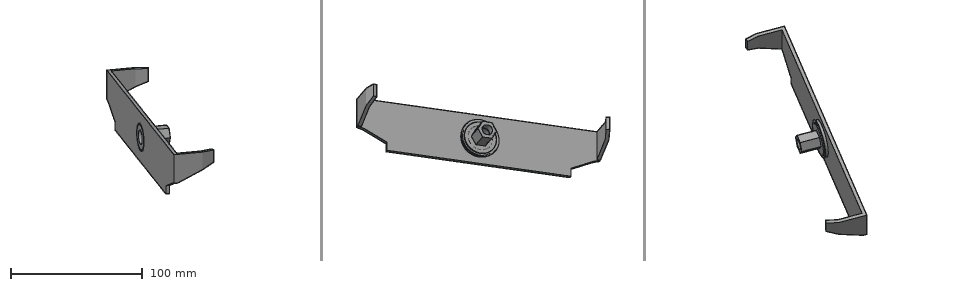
import cadquery as cq
import math

LENGTH = 195.0
DEPTH = 32.0
HEIGHT = 40.0
SHEET = 3.0
BEND_Y = 22.5
BEND_ANGLE = 15.0
END_HEIGHT = 23.2
TIP_HEIGHT = 10.0
KINK_INSET = 5.3
KINK_HEIGHT = 24.8
FOOT_INSET = 23.5
FOOT_HEIGHT = 33.3
BOSS_CLEARANCE = 1.0

BOSS_RADIUS = 9.8
FLANGE_RADIUS = 12.9
FLANGE_FRONT = 5.3
FLANGE_BACK = 6.2
NUT_LENGTH = 21.6
HEX_ACROSS_CORNERS = 15.0
BORE_RADIUS = 5.5
BORE_DEPTH = 13.6
END_HOLE_RADIUS = 4.0
COUNTERSINK_RADIUS = 4.9

WASHER_PLATE_RADIUS = 14.8
WASHER_WAIST_RADIUS = 13.8
WASHER_LIP_RADIUS = 15.2

HALF_LENGTH = LENGTH / 2
TOP = HEIGHT / 2


def disc(radius, y_start, y_end):
    """Cylinder on the nut axis between two Y positions."""
    return cq.Workplane("XZ", origin=(0, y_start, 0)).circle(radius).extrude(y_start - y_end)


def make_sheet():
    """Channel section with bent arm tips, at full height."""
    angle = math.radians(BEND_ANGLE)
    tip_x = HALF_LENGTH - (DEPTH - BEND_Y) * math.tan(angle)
    inner_x = HALF_LENGTH - SHEET
    right_side = [
        (HALF_LENGTH, 0),
        (HALF_LENGTH, BEND_Y),
        (tip_x, DEPTH),
        (tip_x - SHEET * math.cos(angle), DEPTH - SHEET * math.sin(angle)),
        (inner_x, BEND_Y - SHEET * math.tan(angle / 2)),
        (inner_x, SHEET),
    ]
    left_side = [(-x, y) for x, y in reversed(right_side)]
    section = cq.Workplane("XY", origin=(0, 0, -TOP)).polyline(right_side + left_side).close()
    return section.extrude(HEIGHT)


def make_front_outline():
    """Plate outline, with stepped lower corners, through the full depth."""
    right_side = [
        (HALF_LENGTH, TOP),
        (HALF_LENGTH, TOP - END_HEIGHT),
        (HALF_LENGTH - KINK_INSET, TOP - KINK_HEIGHT),
        (HALF_LENGTH - FOOT_INSET, TOP - FOOT_HEIGHT),
        (HALF_LENGTH - FOOT_INSET, -TOP),
    ]
    left_side = [(-x, z) for x, z in reversed(right_side)]
    return cq.Workplane("XZ").polyline(right_side + left_side).close().extrude(-DEPTH)


def make_side_outline():
    """Arm outline, tapering toward the tips, through the full length."""
    points = [
        (0, TOP),
        (DEPTH, TOP),
        (DEPTH, TOP - TIP_HEIGHT),
        (SHEET, TOP - END_HEIGHT),
        (SHEET, -TOP),
        (0, -TOP),
    ]
    return cq.Workplane("YZ").polyline(points).close().extrude(HALF_LENGTH, both=True)


def make_bracket():
    body = make_sheet().intersect(make_front_outline()).intersect(make_side_outline())
    return body.cut(disc(BOSS_RADIUS + BOSS_CLEARANCE, 0, SHEET))


def make_bore():
    """Bore from the boss end, stepping to a countersunk smaller hole."""
    profile = cq.Workplane("XY").polyline([
        (0, 0),
        (BORE_RADIUS, 0),
        (BORE_RADIUS, BORE_DEPTH),
        (COUNTERSINK_RADIUS, BORE_DEPTH),
        (END_HOLE_RADIUS, BORE_DEPTH + COUNTERSINK_RADIUS - END_HOLE_RADIUS),
        (END_HOLE_RADIUS, NUT_LENGTH),
        (0, NUT_LENGTH),
    ]).close()
    return profile.revolve(360, (0, 0, 0), (0, 1, 0))


def make_nut():
    boss = disc(BOSS_RADIUS, 0, FLANGE_FRONT)
    flange = disc(FLANGE_RADIUS, FLANGE_FRONT, FLANGE_BACK)
    hexagon = cq.Workplane("XZ", origin=(0, FLANGE_BACK, 0)).polygon(6, HEX_ACROSS_CORNERS)
    body = boss.union(flange).union(hexagon.extrude(FLANGE_BACK - NUT_LENGTH))
    return body.cut(make_bore())


def make_washer():
    """Ring around the nut boss, with a concave rim."""
    waist_y = (SHEET + FLANGE_FRONT) / 2
    profile = (
        cq.Workplane("XY")
        .moveTo(BOSS_RADIUS, SHEET)
        .lineTo(WASHER_PLATE_RADIUS, SHEET)
        .threePointArc((WASHER_WAIST_RADIUS, waist_y), (WASHER_LIP_RADIUS, FLANGE_FRONT))
        .lineTo(BOSS_RADIUS, FLANGE_FRONT)
        .close()
    )
    return profile.revolve(360, (0, 0, 0), (0, 1, 0))


bracket = make_bracket()
nut = make_nut()
washer = make_washer()

result = cq.Compound.makeCompound([bracket.val(), nut.val(), washer.val()])